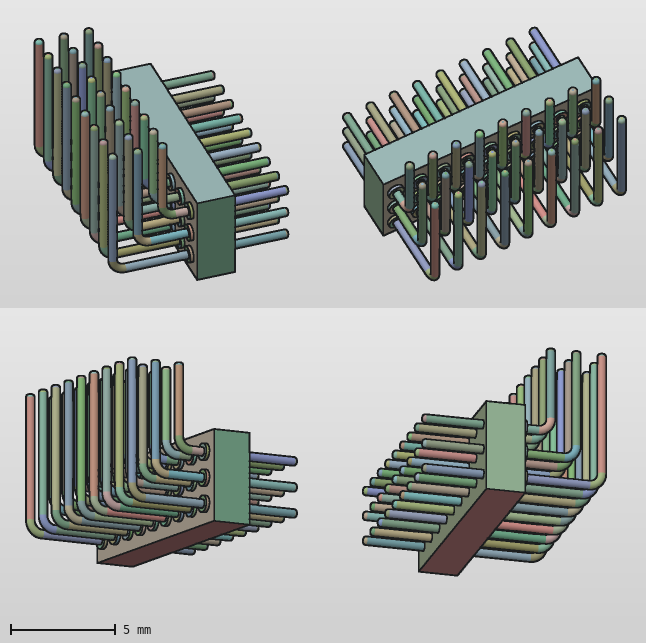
import cadquery as cq

pitch = 1.27
column_count = 9
row_count = 3

body_width = 11.63
body_depth = 1.93
body_height = 4.48

pin_diameter = 0.43
tip_rounding = 0.15
bend_radius = 0.63
tail_length = 3.0
overall_depth = 9.13
overall_height = 7.72

collar_diameter = 0.81
collar_length = 0.17

pin_radius = pin_diameter / 2
back_face_y = body_depth
tail_end_y = back_face_y + tail_length
outermost_leg_y = tail_end_y - overall_depth + pin_radius
first_row_z = (body_height - (row_count - 1) * pitch) / 2
first_column_x = -body_width / 2 + pitch / 2


def make_body():
    """Plain block that carries the pins."""
    return cq.Workplane("XY").box(body_width, body_depth, body_height, centered=(True, False, False))


def make_pin(row):
    """Right-angle pin at X = 0; row 0 is the lowest and reaches farthest forward."""
    row_z = first_row_z + row * pitch
    leg_y = outermost_leg_y + row * pitch
    path = (
        cq.Workplane("YZ")
        .moveTo(tail_end_y, row_z)
        .lineTo(leg_y + bend_radius, row_z)
        .tangentArcPoint((-bend_radius, bend_radius))
        .lineTo(leg_y, overall_height)
    )
    pin = (
        cq.Workplane("XZ", origin=(0, tail_end_y, row_z))
        .circle(pin_radius)
        .sweep(path)
    )
    return pin.faces(">Y or >Z").edges().fillet(tip_rounding)


def make_collar(row):
    """Round collar around a pin on the front face."""
    row_z = first_row_z + row * pitch
    return (
        cq.Workplane("XZ", origin=(0, 0, row_z))
        .circle(collar_diameter / 2)
        .extrude(collar_length)
    )


result = make_body()
for row in range(row_count):
    collared_pin = make_pin(row).union(make_collar(row))
    for column in range(column_count):
        column_x = first_column_x + column * pitch
        result = result.union(collared_pin.translate((column_x, 0, 0)))